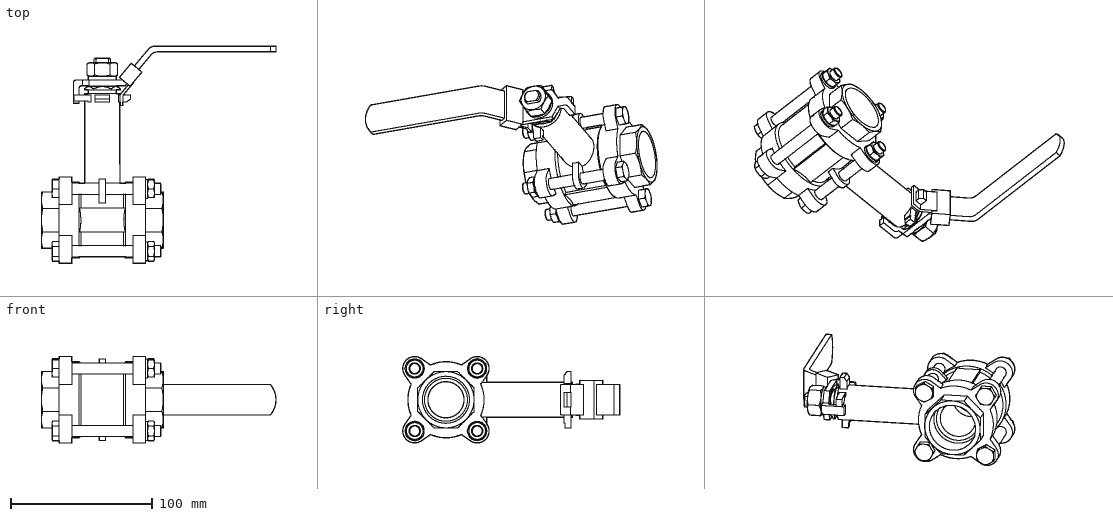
import cadquery as cq
import math


VALVE_LENGTH = 86.25
CAP_OUTER_X = 30.55
EAR_THICKNESS = 9.0
EAR_INNER_X = CAP_OUTER_X - EAR_THICKNESS
FLANGE_INNER_X = 16.4
FLANGE_DIAMETER = 54.0
OCTAGON_SIDES = 8
OCTAGON_FLATS = 40.0
OCTAGON_FACE_DIAMETER = 39.8
OCTAGON_CHAMFER_SLOPE = 0.58
PORT_DIAMETER = 33.3
PORT_DEPTH = 16.5
SEAT_DIAMETER = 30.4
SEAT_DEPTH = 18.5
THROAT_DEPTH = 19.9
BORE_DIAMETER = 25.4

BODY_END_X = 15.0
BODY_DIAMETER = 50.0
PAD_HALF_HEIGHT = 25.2
PAD_WIDTH = 17.0

BOLT_CIRCLE_DIAMETER = 62.5
BOLT_OFFSET = BOLT_CIRCLE_DIAMETER / 2 / math.sqrt(2)
EAR_RADIUS = 8.5
EAR_FLARE = 10.0
EAR_ROOT = 12.0
LUG_RADIUS = 6.8
LUG_THICKNESS = 4.6
BOLT_DIAMETER = 8.0
BOLT_END_X = 41.5
BOLT_TIP_CHAMFER = 0.5
HEX_FLATS = 12.2
HEX_CHAMFER_DIAMETER = 12.5
NUT_CHAMFER_DIAMETER = 11.8
HEX_HEIGHT = 5.0
WASHER_DIAMETER = 13.5
WASHER_THICKNESS = 1.4

HOUSING_DIAMETER = 25.0
HOUSING_ROOT = 16.0
HOUSING_TOP = 89.5
COLLAR_DIAMETER = 20.0
LOCK_NUT_BOTTOM = 92.0
LOCK_NUT_TOP = 94.6
LOCK_NUT_FLATS = 22.0
LOCK_NUT_TOP_DIAMETER = 21.6
LOCK_NUT_CHAMFER_SLOPE = 1.0
STEM_NUT_BOTTOM = 101.6
STEM_NUT_TOP = 111.4
STEM_NUT_FLATS = 18.8
STEM_NUT_FACE_DIAMETER = 18.4
NUT_CHAMFER_SLOPE = 0.58
STEM_DIAMETER = 11.8
STEM_FLATS = 7.94
STEM_TOP = 114.6
STEM_TIP_CHAMFER = 0.8

STOP_TOP = 88.55
STOP_BOTTOM = 83.5
STOP_REACH = 20.0
STOP_WIDTH = 10.2
STOP_CHAMFER_RADIAL = 2.8
STOP_CHAMFER_HEIGHT = 2.1
REST_REACH = 20.0
REST_BOTTOM = 84.2
REST_WIDTH_TIP = 5.15
REST_TAPER = 6.2
REST_FOOT_X = 10.25
REST_FOOT_Z = 16.5

HANDLE_WIDTH = 21.6
HANDLE_THICKNESS = 4.1
PLATE_BOTTOM = 95.0
GRIP_TOP = 122.995
HANDLE_END_X = 122.93
GRIP_TIP_SAGITTA = 4.1
ARM_ANGLE = 50.0
ARM_FOOT_X = 15.2
GRIP_BEND_RADIUS = 6.0
HOOK_BEND_RADIUS = 2.0
HOOK_OUTER_X = -20.55
HOOK_BOTTOM = 82.5
HOOK_WIDTH = 6.5
PLATE_SHOULDER_X = -9.4
PLATE_NECK_X = -14.0

SLIDE_LENGTH = 13.1
SLIDE_THICKNESS = 9.9
SLIDE_WIDTH = 27.5
SLIDE_CENTRE_Y = 102.8
TONGUE_THICKNESS = 2.0
TONGUE_X = 13.6
TONGUE_BEND_Y = 88.5
TONGUE_BOTTOM = 81.0
TONGUE_CORNER_RADIUS = 1.0


def x_cylinder(diameter, x_start, x_end):
    return cq.Workplane("YZ", origin=(x_start, 0, 0)).circle(diameter / 2).extrude(x_end - x_start)


def y_plane(height):
    """Workplane across the stem: local x is +Z, local y is +X, extruding along +Y."""
    return cq.Workplane(cq.Plane(origin=(0, height, 0), xDir=(0, 0, 1), normal=(0, 1, 0)))


def y_cylinder(diameter, bottom, top):
    return y_plane(bottom).circle(diameter / 2).extrude(top - bottom)


def mirrored_x(shape):
    return shape.union(shape.mirror("YZ"))


def chamfer_blank(corner_diameter, length, face_diameter, slope, chamfer_start, chamfer_end):
    """Turned blank along +Z whose coned ends trim the corners of a polygon prism."""
    corner_radius = corner_diameter / 2
    face_radius = face_diameter / 2
    drop = (corner_radius - face_radius) * slope
    blank = cq.Workplane("XY").circle(corner_radius).extrude(length)
    cone = (
        cq.Workplane("XZ")
        .moveTo(face_radius, length)
        .lineTo(corner_radius, length)
        .lineTo(corner_radius, length - drop)
        .close()
        .revolve(360, (0, 0, 0), (0, 1, 0))
    )
    if chamfer_end:
        blank = blank.cut(cone)
    if chamfer_start:
        blank = blank.cut(cone.mirror("XY").translate((0, 0, length)))
    return blank


def polygon_prism(sides, flats, length, face_diameter, slope, chamfer_start, chamfer_end, turn):
    """Regular prism along +Z with coned corners; `turn` rotates it about its axis, in degrees."""
    corner_diameter = flats / math.cos(math.pi / sides)
    prism = cq.Workplane("XY").polygon(sides, corner_diameter).extrude(length)
    blank = chamfer_blank(corner_diameter, length, face_diameter, slope, chamfer_start, chamfer_end)
    return prism.intersect(blank).rotate((0, 0, 0), (0, 0, 1), turn)


def along_x(shape, x_start):
    """Turns a shape built along +Z to lie along +X; its local X becomes Y."""
    return shape.rotate((0, 0, 0), (1, 1, 1), 120).translate((x_start, 0, 0))


def along_y(shape, bottom):
    """Turns a shape built along +Z to stand along +Y, keeping its local X."""
    return shape.rotate((0, 0, 0), (1, 0, 0), -90).translate((0, bottom, 0))


def around_bore(shape, quarter_turns):
    return shape.rotate((0, 0, 0), (1, 0, 0), 90 * quarter_turns)


def ear():
    """One bolt ear of the +X cap: a round end with sides flaring in to the flange."""
    flare = math.radians(EAR_FLARE)
    centre = BOLT_OFFSET * math.sqrt(2)
    tangent_along = centre + EAR_RADIUS * math.sin(flare)
    tangent_across = EAR_RADIUS * math.cos(flare)
    root_across = tangent_across + (tangent_along - EAR_ROOT) * math.tan(flare)
    return (
        cq.Workplane("YZ", origin=(EAR_INNER_X, 0, 0))
        .moveTo(EAR_ROOT, -root_across)
        .lineTo(tangent_along, -tangent_across)
        .threePointArc((centre + EAR_RADIUS, 0), (tangent_along, tangent_across))
        .lineTo(EAR_ROOT, root_across)
        .close()
        .extrude(EAR_THICKNESS)
        .rotate((0, 0, 0), (1, 0, 0), 45)
    )


def end_cap():
    """The +X end cap: flange, four ears and octagonal end."""
    cap = x_cylinder(FLANGE_DIAMETER, FLANGE_INNER_X, CAP_OUTER_X)
    for turn in range(4):
        cap = cap.union(around_bore(ear(), turn))
    octagon = polygon_prism(
        OCTAGON_SIDES,
        OCTAGON_FLATS,
        VALVE_LENGTH / 2 - CAP_OUTER_X,
        OCTAGON_FACE_DIAMETER,
        OCTAGON_CHAMFER_SLOPE,
        False,
        True,
        180 / OCTAGON_SIDES,
    )
    return cap.union(along_x(octagon, CAP_OUTER_X))


def centre_body():
    """Round body, coned out to the flanges, with a long flat pad at +Z and at -Z."""
    half_profile = (
        cq.Workplane("XY")
        .moveTo(0, 0)
        .lineTo(0, BODY_DIAMETER / 2)
        .lineTo(BODY_END_X, BODY_DIAMETER / 2)
        .lineTo(FLANGE_INNER_X, FLANGE_DIAMETER / 2)
        .lineTo(FLANGE_INNER_X, 0)
        .close()
    )
    body = mirrored_x(half_profile.revolve(360, (0, 0, 0), (1, 0, 0)))
    pad = cq.Workplane("XY").box(2 * FLANGE_INNER_X, PAD_WIDTH, 2 * PAD_HALF_HEIGHT)
    return body.union(pad)


def lugs():
    """Plate around the housing root that carries the two bolts on the stem side."""
    start = cq.Workplane("YZ", origin=(-LUG_THICKNESS / 2, 0, 0))
    outer_y = BOLT_OFFSET + LUG_RADIUS
    diagonal = LUG_RADIUS / math.sqrt(2)
    plate = (
        start.moveTo(outer_y, 0)
        .lineTo(outer_y, BOLT_OFFSET)
        .threePointArc(
            (BOLT_OFFSET + diagonal, BOLT_OFFSET + diagonal),
            (BOLT_OFFSET - diagonal, BOLT_OFFSET + diagonal),
        )
        .lineTo(0, 2 * diagonal)
        .lineTo(0, 0)
        .close()
        .extrude(LUG_THICKNESS)
    )
    return plate.union(plate.mirror("XY"))


def bore_cut():
    """Through bore with a wider port at each end, coned down to it in two steps."""
    face = VALVE_LENGTH / 2
    half_bore = (
        cq.Workplane("XY")
        .moveTo(0, 0)
        .lineTo(0, BORE_DIAMETER / 2)
        .lineTo(face - THROAT_DEPTH, BORE_DIAMETER / 2)
        .lineTo(face - SEAT_DEPTH, SEAT_DIAMETER / 2)
        .lineTo(face - PORT_DEPTH, PORT_DIAMETER / 2)
        .lineTo(face, PORT_DIAMETER / 2)
        .lineTo(face, 0)
        .close()
        .revolve(360, (0, 0, 0), (1, 0, 0))
    )
    return mirrored_x(half_bore)


def bolt():
    """Bolt in the +Y +Z corner: head at -X, washer, nut and free end at +X."""

    def hexagon(face_diameter, chamfer_start):
        return polygon_prism(
            6, HEX_FLATS, HEX_HEIGHT, face_diameter, NUT_CHAMFER_SLOPE, chamfer_start, True, 30
        )

    nut_x = CAP_OUTER_X + WASHER_THICKNESS
    shank = x_cylinder(BOLT_DIAMETER, -CAP_OUTER_X, BOLT_END_X).faces(">X").chamfer(BOLT_TIP_CHAMFER)
    head = along_x(hexagon(HEX_CHAMFER_DIAMETER, False), CAP_OUTER_X).mirror("YZ")
    washer = x_cylinder(WASHER_DIAMETER, CAP_OUTER_X, nut_x)
    nut = along_x(hexagon(NUT_CHAMFER_DIAMETER, True), nut_x)
    return shank.union(head).union(washer).union(nut).translate((0, BOLT_OFFSET, BOLT_OFFSET))


def stem_stack():
    """Housing on the body, collar, lock nut, stem nut and the flatted stem tip."""
    housing = y_cylinder(HOUSING_DIAMETER, HOUSING_ROOT, HOUSING_TOP)
    collar = y_cylinder(COLLAR_DIAMETER, HOUSING_TOP, STEM_NUT_BOTTOM)
    lock_nut = polygon_prism(
        6,
        LOCK_NUT_FLATS,
        LOCK_NUT_TOP - LOCK_NUT_BOTTOM,
        LOCK_NUT_TOP_DIAMETER,
        LOCK_NUT_CHAMFER_SLOPE,
        False,
        True,
        0,
    )
    stem_nut = polygon_prism(
        6,
        STEM_NUT_FLATS,
        STEM_NUT_TOP - STEM_NUT_BOTTOM,
        STEM_NUT_FACE_DIAMETER,
        NUT_CHAMFER_SLOPE,
        True,
        True,
        0,
    )
    tip = y_cylinder(STEM_DIAMETER, STEM_NUT_TOP, STEM_TOP).faces(">Y").chamfer(STEM_TIP_CHAMFER)
    flats = y_plane(STEM_NUT_TOP).rect(STEM_FLATS, STEM_DIAMETER).extrude(STEM_TOP - STEM_NUT_TOP)
    stack = housing.union(collar).union(tip.intersect(flats))
    return stack.union(along_y(lock_nut, LOCK_NUT_BOTTOM)).union(along_y(stem_nut, STEM_NUT_BOTTOM))


def stop_block():
    """Stop on the +X side of the housing with its lower outer edge bevelled."""
    return (
        cq.Workplane("XY")
        .moveTo(0, STOP_BOTTOM)
        .lineTo(STOP_REACH - STOP_CHAMFER_RADIAL, STOP_BOTTOM)
        .lineTo(STOP_REACH, STOP_BOTTOM + STOP_CHAMFER_HEIGHT)
        .lineTo(STOP_REACH, STOP_TOP)
        .lineTo(0, STOP_TOP)
        .close()
        .extrude(STOP_WIDTH / 2, both=True)
    )


def hook_rest(foot_reach):
    """Tapered stop on the -X side that the handle hook lands on; its root is deeper."""
    near = HOOK_WIDTH / 2
    far_tip = near + REST_WIDTH_TIP
    far_root = far_tip + REST_REACH * math.tan(math.radians(REST_TAPER))
    outline = [(near, 0), (near, -REST_REACH), (far_tip, -REST_REACH), (far_root, 0)]
    rest = y_plane(STOP_BOTTOM).polyline(outline).close().extrude(STOP_TOP - STOP_BOTTOM)
    relief = cq.Workplane("XY").box(
        REST_REACH, REST_BOTTOM - STOP_BOTTOM, 2 * far_root, centered=(False, False, True)
    )
    return rest.cut(relief.translate((-REST_REACH - foot_reach, STOP_BOTTOM, 0)))


def housing_stops():
    """Two stops at +X and +Z, and two hook rests a quarter turn apart at -X and -Z."""
    side_stop = stop_block()
    top_stop = side_stop.rotate((0, 0, 0), (0, 1, 0), -90)
    side_rest = hook_rest(REST_FOOT_X)
    lower_rest = hook_rest(REST_FOOT_Z).mirror("XY").rotate((0, 0, 0), (0, 1, 0), -90)
    return side_stop.union(top_stop).union(side_rest).union(lower_rest)


def mitred_strip(points, thickness, width):
    """Sharp-cornered sheet strip along a centre line in XY, centred on Z = 0."""

    def offset_side(side):
        headings = [math.atan2(b[1] - a[1], b[0] - a[0]) for a, b in zip(points, points[1:])]
        starts = [headings[0]] + headings
        ends = headings + [headings[-1]]
        outline = []
        for (x, y), heading_in, heading_out in zip(points, starts, ends):
            half_turn = (heading_out - heading_in) / 2
            reach = side * thickness / 2 / math.cos(half_turn)
            normal = heading_in + half_turn + math.pi / 2
            outline.append((x + reach * math.cos(normal), y + reach * math.sin(normal)))
        return outline

    outline = offset_side(1) + offset_side(-1)[::-1]
    return cq.Workplane("XY").polyline(outline).close().extrude(width / 2, both=True)


def handle_envelope():
    """Outline across Y that keeps the narrow hook, its sloping shoulders and the full-width arm."""
    half_hook = HOOK_WIDTH / 2
    half_width = HANDLE_WIDTH / 2
    tip_x = HANDLE_END_X - GRIP_TIP_SAGITTA
    return (
        y_plane(HOOK_BOTTOM)
        .moveTo(half_hook, HOOK_OUTER_X)
        .lineTo(half_hook, PLATE_NECK_X)
        .lineTo(half_width, PLATE_SHOULDER_X)
        .lineTo(half_width, tip_x)
        .threePointArc((0, HANDLE_END_X), (-half_width, tip_x))
        .lineTo(-half_width, PLATE_SHOULDER_X)
        .lineTo(-half_hook, PLATE_NECK_X)
        .lineTo(-half_hook, HOOK_OUTER_X)
        .close()
        .extrude(GRIP_TOP - HOOK_BOTTOM)
    )


def corner_box(x, y):
    """Selector for the two edges of a handle bend whose centre line turns at (x, y)."""
    reach = HANDLE_THICKNESS
    low_corner = (x - reach, y - reach, -HANDLE_WIDTH)
    high_corner = (x + reach, y + reach, HANDLE_WIDTH)
    return cq.selectors.BoxSelector(low_corner, high_corner)


def handle():
    """Bent strip: hook at -X, plate under the stem nut, sloping arm and long round-ended grip."""
    half = HANDLE_THICKNESS / 2
    plate_y = PLATE_BOTTOM + half
    grip_y = GRIP_TOP - half
    arm_top_x = ARM_FOOT_X + (grip_y - plate_y) / math.tan(math.radians(ARM_ANGLE))
    hook_x = HOOK_OUTER_X + half
    centre_line = [
        (hook_x, HOOK_BOTTOM),
        (hook_x, plate_y),
        (ARM_FOOT_X, plate_y),
        (arm_top_x, grip_y),
        (HANDLE_END_X, grip_y),
    ]
    strip = mitred_strip(centre_line, HANDLE_THICKNESS, HANDLE_WIDTH)
    hook_corners = corner_box(hook_x, plate_y)
    grip_corners = corner_box(arm_top_x, grip_y)
    strip = strip.edges("|Z").edges(hook_corners).fillet(HOOK_BEND_RADIUS)
    strip = strip.edges("|Z").edges(grip_corners).fillet(GRIP_BEND_RADIUS)
    return strip.intersect(handle_envelope())


def locking_slide():
    """Block riding on the sloping arm, with a thin tongue hanging down beside the housing."""
    plate_y = PLATE_BOTTOM + HANDLE_THICKNESS / 2
    angle = math.radians(ARM_ANGLE)
    centre_x = ARM_FOOT_X + (SLIDE_CENTRE_Y - plate_y) / math.tan(angle)
    block = (
        cq.Workplane("XY")
        .box(SLIDE_LENGTH, SLIDE_THICKNESS, SLIDE_WIDTH)
        .rotate((0, 0, 0), (0, 0, 1), ARM_ANGLE)
        .translate((centre_x, SLIDE_CENTRE_Y, 0))
    )
    tongue_rise = SLIDE_CENTRE_Y - SLIDE_THICKNESS / 2 - TONGUE_BEND_Y
    tongue_line = [
        (TONGUE_X, TONGUE_BOTTOM),
        (TONGUE_X, TONGUE_BEND_Y),
        (TONGUE_X + tongue_rise / math.tan(angle), TONGUE_BEND_Y + tongue_rise),
    ]
    tongue = mitred_strip(tongue_line, TONGUE_THICKNESS, HANDLE_WIDTH)
    tongue = tongue.faces("<Y").edges("|X").fillet(TONGUE_CORNER_RADIUS)
    return block.union(tongue)


def valve():
    body = centre_body().union(mirrored_x(end_cap())).union(lugs()).union(stem_stack())
    body = body.cut(bore_cut())
    for turn in range(4):
        body = body.union(around_bore(bolt(), turn))
    return body.union(housing_stops()).union(handle()).union(locking_slide())


result = valve()